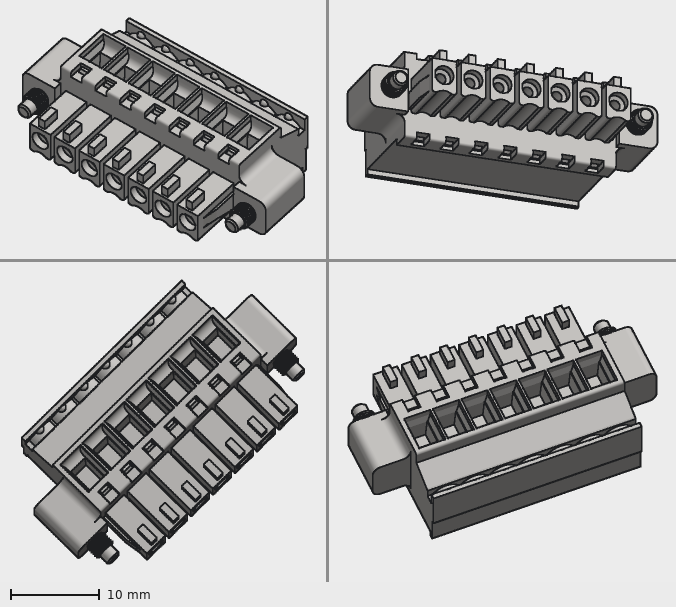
import cadquery as cq
import math


pole_count = 7
pole_pitch = 3.5
pole_centres = [(i - (pole_count - 1) / 2) * pole_pitch for i in range(pole_count)]

total_width = 34.7
housing_width = 25.47
housing_height = 10.5
housing_half = housing_width / 2
mid_height = housing_height / 2
edge_radius = 0.3
small_chamfer = 0.1

back_y = 12.6
back_plate_thickness = 0.6
plate_front_y = back_y - back_plate_thickness
back_plate_top = 8.25
lower_back_y = 12.3
back_step_z = 3.33
groove_front_y = 10.9
groove_floor_z = 6.55
groove_edge_chamfer = 0.2
groove_edge_z = 7.55
slope_low_z = 7.7
slope_high_z = 8.8
step_y = 7.67
underside_z = 0.73
front_foot_length = 2.55
rear_foot_length = 0.6

hump_width = 3.23
hump_height = 0.75
bead_radius = 0.52

pocket_width = 3.2
pocket_front_y = 2.65
pocket_rear_y = 7.05
pocket_straight_depth = 0.85
throat_front_y = 2.85
funnel_end_width = 2.43
funnel_end_rear_y = 6.15
funnel_depth = 0.9
ledge_length = 0.28
throat_opening_width = 2.25
floor_width = 1.87
floor_rear_y = 5.5
floor_depth = 4.15

notch_width = 1.53
notch_length = 1.85
notch_depth = 0.75
latch_width = 1.1
latch_start_y = 1.15
latch_height = 0.3

flange_height = 5.17
flange_front_y = -1.05
flange_back_y = 6.0
flange_radius = 0.97
flange_bottom = mid_height - flange_height / 2
flange_top = mid_height + flange_height / 2

screw_x = 14.78
screw_root_y = -0.7
thread_radius = 1.3
thread_root_radius = 1.1
thread_pitch = 0.28
thread_turns = 6
thread_start_y = -1.15
thread_end_y = thread_start_y - thread_turns * thread_pitch
tip_radius = 0.9
tip_end_y = -4.2
tip_chamfer = 0.2

sleeve_width = 2.95
sleeve_length = 6.6
sleeve_bottom = 3.02
sleeve_top = 7.1
sleeve_corner_radius = 0.3
scallop_width = 1.75
scallop_height = 0.3
key_width = 0.87
key_height = 1.25
key_front_y = -6.28
key_back_y = -4.05
contact_z = 5.25
mouth_radius = 1.1
mouth_depth = 0.97
mouth_cone_depth = 0.25
bore_radius = 0.62
bore_depth = 4.15

rail_thickness = 0.3
rail_taper_y = -3.55
rail_tip_y = -5.55
rail_bottom = 3.45
left_rail_top = 5.4
right_rail_top = 5.97
right_rail_tip_bottom = 4.45


def block(x0, x1, y0, y1, z0, z1):
    """Axis-aligned box between two opposite corners."""
    return cq.Workplane("XY").box(x1 - x0, y1 - y0, z1 - z0, centered=False).translate((x0, y0, z0))


def extrude_along_x(outline_points, width):
    """Prism centred on X = 0 from a closed list of (y, z) points."""
    return cq.Workplane("YZ").polyline(outline_points).close().extrude(width / 2, both=True)


def flip_upside_down(shape):
    """Mirror a shape about the mid height of the housing."""
    return shape.mirror("XY", (0, 0, mid_height))


def housing():
    profile = [
        (0, 0),
        (front_foot_length, 0),
        (front_foot_length, underside_z),
        (lower_back_y - rear_foot_length, underside_z),
        (lower_back_y - rear_foot_length, small_chamfer),
        (lower_back_y - rear_foot_length + small_chamfer, 0),
        (lower_back_y - small_chamfer, 0),
        (lower_back_y, small_chamfer),
        (lower_back_y, back_step_z),
        (back_y - small_chamfer, back_step_z),
        (back_y, back_step_z + small_chamfer),
        (back_y, back_plate_top),
        (plate_front_y, back_plate_top),
        (plate_front_y, groove_floor_z),
        (groove_front_y, groove_floor_z),
        (groove_front_y, groove_edge_z),
        (groove_front_y - groove_edge_chamfer, slope_low_z),
        (step_y, slope_high_z),
        (step_y, housing_height),
        (0, housing_height),
    ]
    body = extrude_along_x(profile, housing_width)
    for y, z in [(0, 0), (0, housing_height), (step_y, housing_height)]:
        outer_edge = cq.selectors.NearestToPointSelector((0, y, z))
        body = body.edges(outer_edge).fillet(edge_radius)
    return body


def screw_hump(x):
    """Arched pad in the rear groove with a round bead against the back plate."""
    crest_z = groove_floor_z + hump_height
    arch = (
        cq.Workplane("XZ", origin=(x, plate_front_y, groove_floor_z))
        .moveTo(-hump_width / 2, 0)
        .threePointArc((0, hump_height), (hump_width / 2, 0))
        .close()
        .extrude(plate_front_y - groove_front_y)
    )
    bead = cq.Workplane("XY").sphere(bead_radius).translate((x, plate_front_y, crest_z))
    return arch.union(bead)


def pocket_taper(x, top_width, top_z, bottom_width, bottom_z):
    """Prism over the pocket length whose sides close in from top_width to bottom_width."""
    return (
        cq.Workplane("XZ", origin=(x, pocket_rear_y, 0))
        .polyline([
            (-top_width / 2, top_z),
            (top_width / 2, top_z),
            (bottom_width / 2, bottom_z),
            (-bottom_width / 2, bottom_z),
        ])
        .close()
        .extrude(pocket_rear_y - pocket_front_y)
    )


def wire_pocket(x):
    """Straight entry, funnel with a rounded rear wall, and a tapering throat down to the clamp floor."""
    funnel_top = housing_height - pocket_straight_depth
    funnel_bottom = funnel_top - funnel_depth
    entry = block(
        x - pocket_width / 2, x + pocket_width / 2, pocket_front_y, pocket_rear_y, funnel_top, housing_height
    )
    bend = math.sin(math.radians(45))
    rear_run = pocket_rear_y - funnel_end_rear_y
    rear_round = (
        cq.Workplane("YZ", origin=(x, 0, 0))
        .moveTo(pocket_front_y, funnel_top)
        .lineTo(throat_front_y, funnel_bottom)
        .lineTo(funnel_end_rear_y, funnel_bottom)
        .threePointArc(
            (funnel_end_rear_y + rear_run * bend, funnel_top - funnel_depth * bend),
            (pocket_rear_y, funnel_top),
        )
        .close()
        .extrude(pocket_width / 2, both=True)
    )
    funnel = rear_round.intersect(pocket_taper(x, pocket_width, funnel_top, funnel_end_width, funnel_bottom))
    clamp_floor_z = housing_height - floor_depth
    throat_profile = [
        (throat_front_y, funnel_bottom),
        (funnel_end_rear_y - ledge_length, funnel_bottom),
        (floor_rear_y, clamp_floor_z),
        (throat_front_y, clamp_floor_z),
    ]
    throat_sides = pocket_taper(x, throat_opening_width, funnel_bottom, floor_width, clamp_floor_z)
    throat = extrude_along_x(throat_profile, throat_opening_width).translate((x, 0, 0))
    throat = throat.intersect(throat_sides)
    return entry.union(funnel).union(throat)


def latch_notch(x):
    """Notch in the upper front edge, keeping a ramped latch block at its rear."""
    floor_z = housing_height - notch_depth
    notch = block(x - notch_width / 2, x + notch_width / 2, 0, notch_length, floor_z, housing_height)
    latch_profile = [
        (latch_start_y, floor_z),
        (latch_start_y + latch_height, floor_z + latch_height),
        (notch_length, floor_z + latch_height),
        (notch_length, floor_z),
    ]
    return notch.cut(extrude_along_x(latch_profile, latch_width).translate((x, 0, 0)))


def flange():
    """Right-hand flange with rounded outer edges, blended into the housing side."""
    outer_x = total_width / 2
    ear = block(housing_half, outer_x, flange_front_y, flange_back_y, flange_bottom, flange_top)
    ear = ear.edges("|Y and >X").fillet(flange_radius)
    blend = (
        cq.Workplane("XZ", origin=(housing_half, flange_back_y, flange_top))
        .moveTo(0, flange_radius)
        .radiusArc((flange_radius, 0), -flange_radius)
        .lineTo(0, 0)
        .close()
        .extrude(flange_back_y)
    )
    return ear.union(blend).union(flip_upside_down(blend))


def flange_screw():
    """Right-hand screw: ringed thread followed by a plain chamfered tip."""
    outline = cq.Workplane("XY").moveTo(0, screw_root_y).lineTo(thread_root_radius, screw_root_y)
    outline = outline.lineTo(thread_root_radius, thread_start_y)
    for turn in range(thread_turns):
        ring_start_y = thread_start_y - turn * thread_pitch
        outline = outline.lineTo(thread_radius, ring_start_y - thread_pitch / 2)
        outline = outline.lineTo(thread_root_radius, ring_start_y - thread_pitch)
    outline = (
        outline.lineTo(tip_radius, thread_end_y)
        .lineTo(tip_radius, tip_end_y + tip_chamfer)
        .lineTo(tip_radius - tip_chamfer, tip_end_y)
        .lineTo(0, tip_end_y)
        .close()
    )
    return outline.revolve(360, (0, 0, 0), (0, 1, 0)).translate((screw_x, 0, mid_height))


def contact_sleeve(x):
    """Sleeve with a scalloped underside and a coding key on top."""
    half = sleeve_width / 2
    corner_z = sleeve_bottom + sleeve_corner_radius
    sleeve = (
        cq.Workplane("XZ", origin=(x, 0, 0))
        .moveTo(-half, sleeve_top)
        .lineTo(half, sleeve_top)
        .lineTo(half, corner_z)
        .radiusArc((half - sleeve_corner_radius, sleeve_bottom), sleeve_corner_radius)
        .lineTo(scallop_width / 2, sleeve_bottom)
        .threePointArc((0, sleeve_bottom + scallop_height), (-scallop_width / 2, sleeve_bottom))
        .lineTo(-half + sleeve_corner_radius, sleeve_bottom)
        .radiusArc((-half, corner_z), sleeve_corner_radius)
        .close()
        .extrude(sleeve_length)
    )
    key = block(
        x - key_width / 2, x + key_width / 2, key_front_y, key_back_y, sleeve_top, sleeve_top + key_height
    )
    return sleeve.union(key)


def contact_hole(x):
    """Round mouth with a conical end leading into a plain blind bore."""
    profile = (
        cq.Workplane("XY")
        .moveTo(0, -sleeve_length)
        .lineTo(mouth_radius, -sleeve_length)
        .lineTo(mouth_radius, -sleeve_length + mouth_depth)
        .lineTo(bore_radius, -sleeve_length + mouth_depth + mouth_cone_depth)
        .lineTo(bore_radius, -sleeve_length + bore_depth)
        .lineTo(0, -sleeve_length + bore_depth)
        .close()
    )
    return profile.revolve(360, (0, 0, 0), (0, 1, 0)).translate((x, 0, contact_z))


def rail_plan(side):
    """Tall prism with the tapering plan of a side rail; side is -1 for left and +1 for right."""
    sleeve_side = side * (pole_centres[-1] + sleeve_width / 2)
    outer = sleeve_side + side * rail_thickness
    points = [(sleeve_side, 0), (outer, 0), (outer, rail_taper_y), (sleeve_side, rail_tip_y)]
    return cq.Workplane("XY").polyline(points).close().extrude(housing_height)


def left_rail():
    return rail_plan(-1).intersect(block(-housing_half, 0, rail_tip_y, 0, rail_bottom, left_rail_top))


def right_rail():
    """Rail whose underside rises towards the tip."""
    side_profile = [
        (0, rail_bottom),
        (0, right_rail_top),
        (rail_tip_y, right_rail_top),
        (rail_tip_y, right_rail_tip_bottom),
        (rail_taper_y, right_rail_tip_bottom),
    ]
    return rail_plan(1).intersect(extrude_along_x(side_profile, housing_width))


result = housing()

for pole_x in pole_centres:
    notch = latch_notch(pole_x)
    result = result.cut(wire_pocket(pole_x)).cut(notch).cut(flip_upside_down(notch))
    result = result.union(screw_hump(pole_x))
    result = result.union(contact_sleeve(pole_x)).cut(contact_hole(pole_x))

ear_with_screw = flange().union(flange_screw())
result = result.union(ear_with_screw).union(ear_with_screw.mirror("YZ"))
result = result.union(left_rail()).union(right_rail())